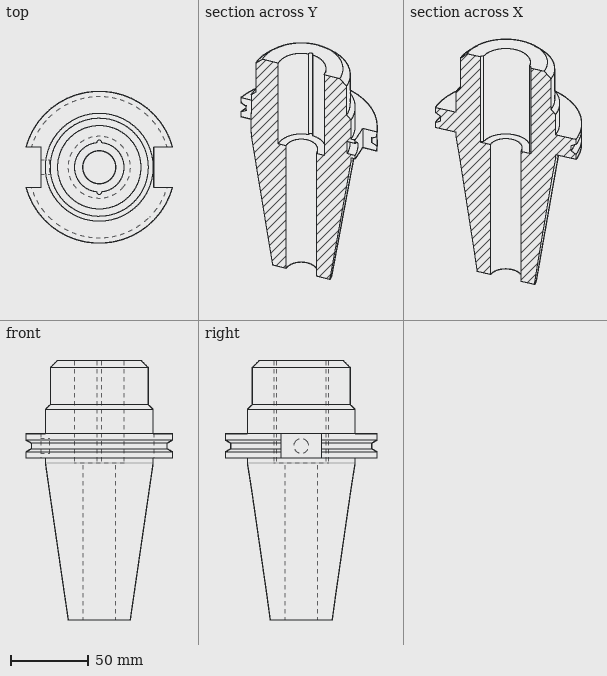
import cadquery as cq

INCH = 25.4

GAUGE_DIAMETER = 2.75 * INCH
TAPER_LENGTH = 4.0 * INCH
TAPER_RATE = 7 / 24
OVERALL_LENGTH = 168.15

FLANGE_DIAMETER = 3.875 * INCH
FLANGE_BOTTOM_Z = 0.125 * INCH
FLANGE_THICKNESS = 0.625 * INCH
GROOVE_FLOOR_DIAMETER = 91.6
GROOVE_FLOOR_WIDTH = 3.6
GROOVE_MOUTH_WIDTH = 7.5

SLOT_WIDTH = 1.02 * INCH
SLOT_FLOOR_X_MINUS = 1.484 * INCH
SLOT_FLOOR_X_PLUS = 1.388 * INCH

DIMPLE_DIAMETER = 0.375 * INCH
DIMPLE_DEPTH = 5.5

COLLAR_DIAMETER = GAUGE_DIAMETER
BARREL_DIAMETER = 2.5 * INCH
BARREL_LENGTH = 1.125 * INCH
BARREL_CHAMFER = 0.1875 * INCH

BORE_DIAMETER = 32.0
DRAWBAR_HOLE_DIAMETER = 21.2
COOLANT_GROOVE_WIDTH = 2.8
COOLANT_GROOVE_REACH = 17.6

top_z = OVERALL_LENGTH - TAPER_LENGTH
flange_top_z = FLANGE_BOTTOM_Z + FLANGE_THICKNESS
flange_mid_z = FLANGE_BOTTOM_Z + FLANGE_THICKNESS / 2
bore_depth = top_z


def make_body():
    """Revolve the outer profile: taper, grooved flange, collar and barrel."""
    gauge_radius = GAUGE_DIAMETER / 2
    taper_end_radius = gauge_radius - TAPER_LENGTH * TAPER_RATE / 2
    flange_radius = FLANGE_DIAMETER / 2
    floor_radius = GROOVE_FLOOR_DIAMETER / 2
    collar_radius = COLLAR_DIAMETER / 2
    barrel_radius = BARREL_DIAMETER / 2
    barrel_bottom_z = top_z - BARREL_LENGTH
    collar_chamfer = collar_radius - barrel_radius
    profile = [
        (0, -TAPER_LENGTH),
        (taper_end_radius, -TAPER_LENGTH),
        (gauge_radius, 0),
        (gauge_radius, FLANGE_BOTTOM_Z),
        (flange_radius, FLANGE_BOTTOM_Z),
        (flange_radius, flange_mid_z - GROOVE_MOUTH_WIDTH / 2),
        (floor_radius, flange_mid_z - GROOVE_FLOOR_WIDTH / 2),
        (floor_radius, flange_mid_z + GROOVE_FLOOR_WIDTH / 2),
        (flange_radius, flange_mid_z + GROOVE_MOUTH_WIDTH / 2),
        (flange_radius, flange_top_z),
        (collar_radius, flange_top_z),
        (collar_radius, barrel_bottom_z - collar_chamfer),
        (barrel_radius, barrel_bottom_z),
        (barrel_radius, top_z - BARREL_CHAMFER),
        (barrel_radius - BARREL_CHAMFER, top_z),
        (0, top_z),
    ]
    return cq.Workplane("XZ").polyline(profile).close().revolve(360, (0, 0), (0, 1))


def make_drive_slot(side, floor_x):
    """Block that cuts one drive slot; side is -1 for -X and +1 for +X."""
    length = FLANGE_DIAMETER / 2
    block = cq.Workplane("XY").box(length, SLOT_WIDTH, FLANGE_THICKNESS)
    return block.translate((side * (floor_x + length / 2), 0, flange_mid_z))


def make_dimple():
    """Blind hole running in +X from the floor of the -X drive slot."""
    plane = cq.Workplane("YZ", origin=(-SLOT_FLOOR_X_MINUS, 0, flange_mid_z))
    return plane.circle(DIMPLE_DIAMETER / 2).extrude(DIMPLE_DEPTH)


def make_bore():
    """Tool bore with its coolant grooves, plus the drawbar hole through the shank."""
    top = cq.Workplane("XY", origin=(0, 0, top_z))
    tool_bore = top.circle(BORE_DIAMETER / 2).extrude(-bore_depth)
    coolant_slot = top.slot2D(2 * COOLANT_GROOVE_REACH, COOLANT_GROOVE_WIDTH, 90)
    coolant_grooves = coolant_slot.extrude(-bore_depth)
    drawbar_hole = top.circle(DRAWBAR_HOLE_DIAMETER / 2).extrude(-OVERALL_LENGTH)
    return tool_bore.union(coolant_grooves).union(drawbar_hole)


result = (
    make_body()
    .cut(make_drive_slot(-1, SLOT_FLOOR_X_MINUS))
    .cut(make_drive_slot(1, SLOT_FLOOR_X_PLUS))
    .cut(make_dimple())
    .cut(make_bore())
)